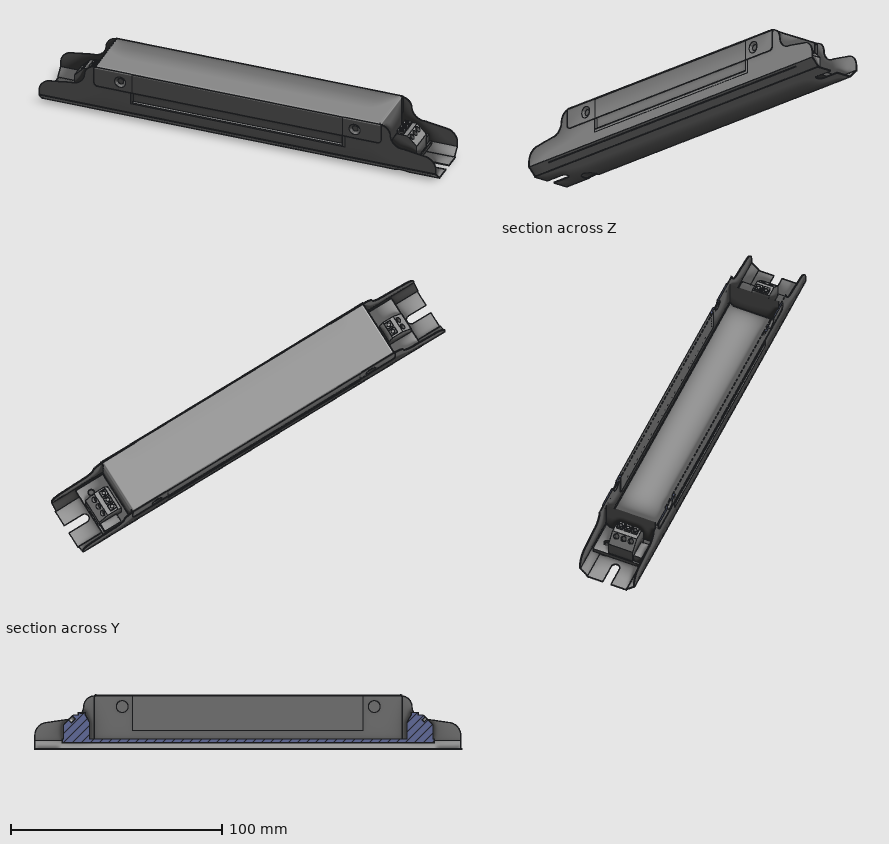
import cadquery as cq
import math

LENGTH = 202.0
WIDTH = 29.2
HEIGHT = 26.0

SHEET = 0.5
COVER_SHEET = 0.4
TRAY_HALF = WIDTH / 2 - COVER_SHEET
BEVEL = 4.0
BEVEL_ANGLE = math.radians(45)
FLOOR_HALF = TRAY_HALF - BEVEL
FLOOR_SHIFT = 0.4
TRAY_START = -LENGTH / 2
TRAY_END = LENGTH / 2 - FLOOR_SHIFT
TRAY_CENTER = (TRAY_START + TRAY_END) / 2

WALL_TOP = 25.4
WALL_END_HEIGHT = 6.5
SHOULDER_INSET, SHOULDER_HEIGHT = 6.3, 12.9
RAMP_INSET, RAMP_HEIGHT = 16.3, 14.4
NECK_INSET, NECK_HEIGHT = 23.1, 20.0
CROWN_INSET = 28.2
ARC_MIDDLE = math.sqrt(0.5)

SLOT_WIDTH = 4.2
SLOT_DEPTH = 12.2

PANEL_LENGTH = 107.0
PANEL_BOTTOM = 10.0
PANEL_DEPTH = 0.6
PANEL_SLOPE = 45.0
PANEL_RIM = 1.0

COVER_LENGTH = 146.0
COVER_BEND = 1.2
SKIRT_BOTTOM = 15.4
SKIRT_CORNER = 2.0
FLAP_HALF = 12.6
FLAP_CORNER = 2.0
RIVET_X = 59.6
RIVET_Z = 20.3
RIVET_HEAD = 5.6
RIVET_HOLE = 2.9
RIVET_DEPTH = 1.0

BOARD_LENGTH = 176.0
BOARD_HALF = 12.9
BOARD_BOTTOM = 3.1
BOARD_TOP = 5.0
OVERLAP = 0.1

SCREW_X, SCREW_Y = 82.1, -8.2
DIMPLE_BASE_RADIUS = 4.9
DIMPLE_TOP_RADIUS = DIMPLE_BASE_RADIUS - BOARD_BOTTOM

TERMINAL_OUTER = 87.4
TERMINAL_INNER = 75.0
TERMINAL_FRONT_TOP = 11.7
TERMINAL_TOP = 16.4
TERMINAL_BACK_DROP = 3.5
TERMINAL_BACK_RUN = 2.0
TERMINAL_MARGIN = 1.2
LEFT_POLES, LEFT_TERMINAL_Y = 2, 1.5
RIGHT_POLES, RIGHT_TERMINAL_Y = 3, 1.2
POLE_PITCH = 3.75
BUTTON_START, BUTTON_END = 77.0, 80.4
BUTTON_WIDTH = 2.9
BUTTON_RISE = 1.2
BUTTON_DIMPLE = 1.8
BUTTON_DIMPLE_DEPTH = 0.5
WIRE_HOLE = 2.6
WIRE_HOLE_DEPTH = 2.0
WIRE_HOLE_Z = 15.0

COMPONENT_X = (78.0, 87.0)
COMPONENT_Y = (7.7, 11.9)
COMPONENT_HEIGHT = 4.0


def box(x_range, y_range, z_range):
    """Box spanning the given (low, high) ranges."""
    size = [high - low for low, high in (x_range, y_range, z_range)]
    corner = cq.Vector(x_range[0], y_range[0], z_range[0])
    return cq.Workplane(obj=cq.Solid.makeBox(*size, corner))


def mirrored_y(shape):
    return shape.union(shape.mirror("XZ"))


def tray_channel(inset):
    """Long solid with the tray's cross section, shrunk by the inset on the floor and sides."""
    bevel_inset = inset * math.tan(BEVEL_ANGLE / 2)
    floor_half = FLOOR_HALF - bevel_inset
    wall_half = TRAY_HALF - inset
    bevel_top = inset + wall_half - floor_half
    return (
        cq.Workplane("YZ", origin=(TRAY_START, 0, 0))
        .moveTo(-floor_half, inset)
        .lineTo(floor_half, inset)
        .lineTo(wall_half, bevel_top)
        .lineTo(wall_half, HEIGHT)
        .lineTo(-wall_half, HEIGHT)
        .lineTo(-wall_half, bevel_top)
        .close()
        .extrude(LENGTH)
    )


def wall_outline():
    """Side profile of the tray, the same at both ends, extruded across the full width."""
    def point(inset, height):
        return (TRAY_START + inset, height)

    shoulder_middle = point(
        SHOULDER_INSET * (1 - ARC_MIDDLE),
        WALL_END_HEIGHT + (SHOULDER_HEIGHT - WALL_END_HEIGHT) * ARC_MIDDLE,
    )
    neck_middle = point(
        RAMP_INSET + (NECK_INSET - RAMP_INSET) * ARC_MIDDLE,
        NECK_HEIGHT - (NECK_HEIGHT - RAMP_HEIGHT) * ARC_MIDDLE,
    )
    crown_middle = point(
        CROWN_INSET - (CROWN_INSET - NECK_INSET) * ARC_MIDDLE,
        NECK_HEIGHT + (WALL_TOP - NECK_HEIGHT) * ARC_MIDDLE,
    )
    half = (
        cq.Workplane("XZ", origin=(0, WIDTH / 2, 0))
        .moveTo(*point(0, 0))
        .lineTo(*point(0, WALL_END_HEIGHT))
        .threePointArc(shoulder_middle, point(SHOULDER_INSET, SHOULDER_HEIGHT))
        .lineTo(*point(RAMP_INSET, RAMP_HEIGHT))
        .threePointArc(neck_middle, point(NECK_INSET, NECK_HEIGHT))
        .threePointArc(crown_middle, point(CROWN_INSET, WALL_TOP))
        .lineTo(TRAY_CENTER, WALL_TOP)
        .lineTo(TRAY_CENTER, 0)
        .close()
        .extrude(WIDTH)
    )
    return half.union(half.mirror("YZ", (TRAY_CENTER, 0, 0)))


def make_tray():
    walls = tray_channel(0).cut(tray_channel(SHEET)).intersect(wall_outline())
    floor_x = (TRAY_START + FLOOR_SHIFT, LENGTH / 2)
    floor = box(floor_x, (-FLOOR_HALF, FLOOR_HALF), (0, SHEET))
    floor_strip = box((TRAY_START, TRAY_END), (-FLOOR_HALF, FLOOR_HALF), (0, SHEET))
    tray = walls.cut(floor_strip).union(floor)
    slots = (
        cq.Workplane("XY")
        .pushPoints([(TRAY_START, 0), (LENGTH / 2, 0)])
        .slot2D(2 * SLOT_DEPTH, SLOT_WIDTH)
        .extrude(SHEET)
    )
    return tray.cut(slots)


def press_panels(tray):
    """Set a long panel of each side wall inwards."""
    half = PANEL_LENGTH / 2
    outer_x = (TRAY_CENTER - half, TRAY_CENTER + half)
    rim_x = (outer_x[0] - PANEL_RIM, outer_x[1] + PANEL_RIM)
    inner_y = TRAY_HALF - PANEL_DEPTH - SHEET
    backing = box(rim_x, (inner_y, TRAY_HALF), (PANEL_BOTTOM - PANEL_RIM, WALL_TOP))
    panel_height = WALL_TOP - PANEL_BOTTOM
    recess = (
        cq.Workplane("XZ", origin=(TRAY_CENTER, TRAY_HALF, PANEL_BOTTOM + panel_height / 2))
        .rect(PANEL_LENGTH, panel_height)
        .extrude(PANEL_DEPTH, taper=PANEL_SLOPE)
    )
    return tray.union(mirrored_y(backing)).cut(mirrored_y(recess))


def make_cover():
    half = COVER_LENGTH / 2
    outer = box((-half, half), (-WIDTH / 2, WIDTH / 2), (SKIRT_BOTTOM, HEIGHT))
    outer = outer.edges("|Y and <Z").fillet(SKIRT_CORNER)
    outer = outer.faces(">Z").edges().fillet(COVER_BEND)
    cavity = box(
        (COVER_SHEET - half, half - COVER_SHEET),
        (-TRAY_HALF, TRAY_HALF),
        (SKIRT_BOTTOM, HEIGHT - COVER_SHEET),
    )
    cavity = cavity.faces(">Z").edges().fillet(COVER_BEND - COVER_SHEET)
    corner_gap = box((-half, half), (FLAP_HALF, TRAY_HALF), (SKIRT_BOTTOM, HEIGHT - COVER_BEND))
    flap = box(
        (-half, COVER_SHEET - half),
        (-FLAP_HALF, FLAP_HALF),
        (BOARD_TOP - OVERLAP, HEIGHT - COVER_BEND),
    )
    flap = flap.edges("|X and <Z").chamfer(FLAP_CORNER)
    cover = outer.cut(cavity).cut(mirrored_y(corner_gap))
    return cover.union(flap).union(flap.mirror("YZ"))


def set_rivets(body):
    """Blind countersunk rivets through each skirt and wall."""
    for side in (-1, 1):
        inward = cq.Vector(0, -side, 0)
        for x in (-RIVET_X, RIVET_X):
            surface = cq.Vector(x, side * WIDTH / 2, RIVET_Z)
            wall_face = surface + inward * COVER_SHEET
            backing_depth = RIVET_DEPTH + SHEET - COVER_SHEET
            backing = cq.Solid.makeCylinder(RIVET_HEAD / 2, backing_depth, wall_face, inward)
            sink = cq.Solid.makeCone(RIVET_HEAD / 2, RIVET_HOLE / 2, RIVET_DEPTH, surface, inward)
            body = body.union(cq.Workplane(obj=backing)).cut(cq.Workplane(obj=sink))
    return body


def make_board():
    half = BOARD_LENGTH / 2
    board = box((-half, half), (-BOARD_HALF, BOARD_HALF), (BOARD_BOTTOM, BOARD_TOP))
    component = box(COMPONENT_X, COMPONENT_Y, (BOARD_TOP - OVERLAP, BOARD_TOP + COMPONENT_HEIGHT))
    return board.union(component)


def add_earth_dimple(body):
    """Hollow cone pressed up from the floor to the board, with a screw hole in the board above it."""
    base = cq.Vector(SCREW_X, SCREW_Y, 0)
    up = cq.Vector(0, 0, 1)
    wall = SHEET * math.sqrt(2)
    outer = cq.Solid.makeCone(DIMPLE_BASE_RADIUS, DIMPLE_TOP_RADIUS, BOARD_BOTTOM, base, up)
    inner_top_z = BOARD_BOTTOM - SHEET
    inner_base_radius = DIMPLE_BASE_RADIUS - wall
    inner = cq.Solid.makeCone(inner_base_radius, inner_base_radius - inner_top_z, inner_top_z, base, up)
    outer = cq.Workplane(obj=outer).intersect(tray_channel(0))
    seat = cq.Vector(SCREW_X, SCREW_Y, BOARD_BOTTOM)
    hole = cq.Solid.makeCylinder(RIVET_HOLE / 2, BOARD_TOP - BOARD_BOTTOM, seat, up)
    return body.union(outer).cut(cq.Workplane(obj=inner)).cut(cq.Workplane(obj=hole))


def make_terminal(pole_count, center_y):
    """Terminal block at the -X end, with its wire entries on the 45 degree outer slope."""
    width = pole_count * POLE_PITCH + TERMINAL_MARGIN
    slope_end = TERMINAL_OUTER - (TERMINAL_TOP - TERMINAL_FRONT_TOP)
    block = (
        cq.Workplane("XZ", origin=(0, center_y + width / 2, 0))
        .polyline([
            (-TERMINAL_OUTER, BOARD_TOP - OVERLAP),
            (-TERMINAL_OUTER, TERMINAL_FRONT_TOP),
            (-slope_end, TERMINAL_TOP),
            (-TERMINAL_INNER - TERMINAL_BACK_RUN, TERMINAL_TOP),
            (-TERMINAL_INNER, TERMINAL_TOP - TERMINAL_BACK_DROP),
            (-TERMINAL_INNER, BOARD_TOP - OVERLAP),
        ])
        .close()
        .extrude(width)
    )
    hole_x = -slope_end - (TERMINAL_TOP - WIRE_HOLE_Z)
    into_slope = cq.Vector(1, 0, -1)
    for pole in range(pole_count):
        pole_y = center_y + (pole - (pole_count - 1) / 2) * POLE_PITCH
        button_y = (pole_y - BUTTON_WIDTH / 2, pole_y + BUTTON_WIDTH / 2)
        button = box(
            (-BUTTON_END, -BUTTON_START),
            button_y,
            (TERMINAL_TOP - OVERLAP, TERMINAL_TOP + BUTTON_RISE),
        )
        button_top = button.faces(">Z").workplane(centerOption="CenterOfMass")
        button = button_top.hole(BUTTON_DIMPLE, BUTTON_DIMPLE_DEPTH)
        entry = cq.Vector(hole_x, pole_y, WIRE_HOLE_Z)
        hole = cq.Solid.makeCylinder(WIRE_HOLE / 2, WIRE_HOLE_DEPTH, entry, into_slope)
        block = block.union(button).cut(cq.Workplane(obj=hole))
    return block


body = press_panels(make_tray())
body = body.union(make_cover())
body = set_rivets(body)
body = body.union(make_board())
body = body.union(make_terminal(LEFT_POLES, LEFT_TERMINAL_Y))
body = body.union(make_terminal(RIGHT_POLES, RIGHT_TERMINAL_Y).mirror("YZ"))
result = add_earth_dimple(body)